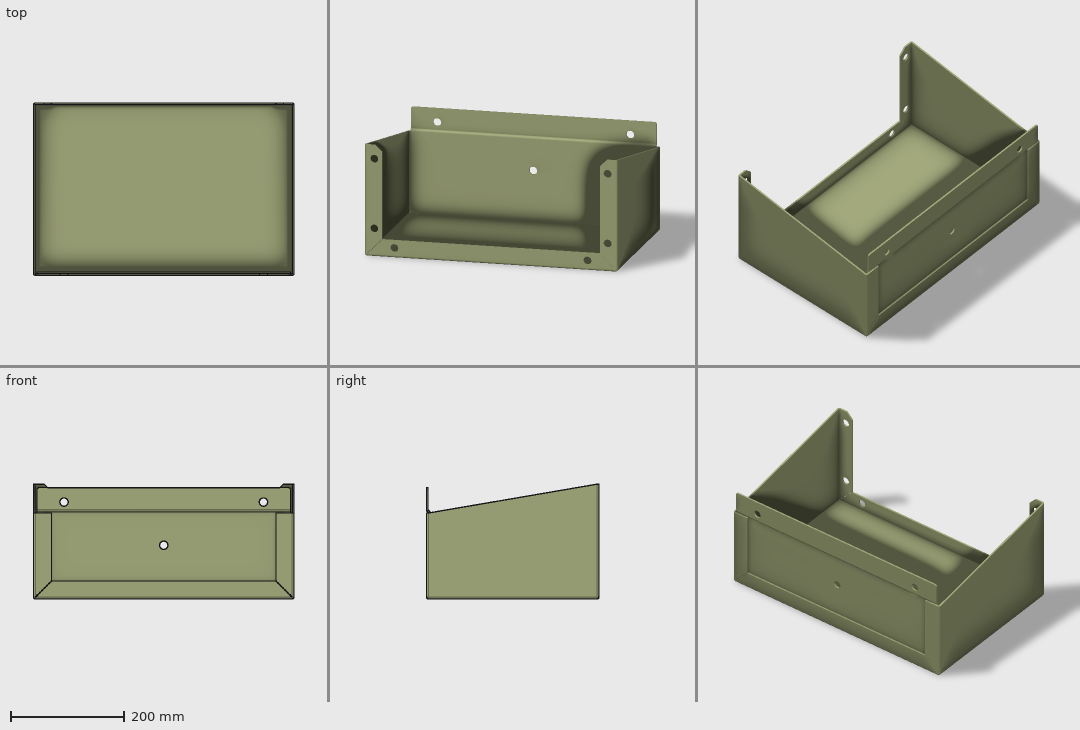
import cadquery as cq
import math

WIDTH = 460.38
DEPTH = 304.8
BACK_HEIGHT = 203.2
FRONT_HEIGHT = 152.4

SHEET = 3.175
BEND_INNER_RADIUS = 0.79375
BEND_RADIUS = BEND_INNER_RADIUS + SHEET
FLANGE = 31.75
BACK_FLANGE_CHAMFER = 12.7
MITER_ANGLE = 45
MITER_GAP = 0.6

HOLE_DIAMETER = 14.29
MOUNT_HOLE_SPACING = 352
MOUNT_HOLE_X = MOUNT_HOLE_SPACING / 2
FLANGE_HOLE_INSET = 17.4625
SIDE_FLANGE_HOLE_HEIGHTS = (50.8, 177.8)

PANEL_SIDE_CLEARANCE = 3.175
PANEL_WIDTH = WIDTH - 2 * (SHEET + PANEL_SIDE_CLEARANCE)
PANEL_TOP = 196.85
PANEL_BOTTOM = BEND_RADIUS
PANEL_CORNER_RADIUS = 3.96875
JOGGLE_ANGLE = 45
JOGGLE_CLEARANCE = 0.79375
CENTRE_HOLE_HEIGHT = 95.25
UPPER_HOLE_DROP = 25.4
UPPER_HOLE_HEIGHT = PANEL_TOP - UPPER_HOLE_DROP

FRONT_Y = -DEPTH / 2
BACK_Y = DEPTH / 2


def block(width, depth, bottom, top, edge_radius):
    """Box with its upright and lower edges rounded."""
    box = cq.Workplane("XY").box(width, depth, top - bottom, centered=(True, True, False))
    box = box.translate((0, 0, bottom))
    return box.edges("|Z or <Z").fillet(edge_radius)


def holes_along_y(points, y_start, y_end):
    """Round cutters along Y at the given (x, z) points."""
    cutters = cq.Workplane("XZ", origin=(0, y_start, 0)).pushPoints(points)
    return cutters.circle(HOLE_DIAMETER / 2).extrude(y_start - y_end)


def side_slope_cutter():
    """Everything above the sloping top edge of the two sides."""
    above = BACK_HEIGHT + SHEET
    return (
        cq.Workplane("YZ")
        .polyline([
            (FRONT_Y - SHEET, above),
            (FRONT_Y - SHEET, FRONT_HEIGHT),
            (FRONT_Y + BEND_RADIUS, FRONT_HEIGHT),
            (BACK_Y - BEND_RADIUS, BACK_HEIGHT),
            (BACK_Y - BEND_RADIUS, above),
        ])
        .close()
        .extrude(WIDTH, both=True)
    )


def front_opening():
    """Space between the front flanges."""
    width = WIDTH - 2 * FLANGE
    opening = cq.Workplane("XY").box(width, DEPTH / 2, BACK_HEIGHT, centered=(True, True, False))
    return opening.translate((0, FRONT_Y, FLANGE))


def back_opening():
    """Space between the back flanges, widened at the top by the corner chamfers."""
    half_width = WIDTH / 2 - FLANGE
    top_half_width = half_width + BACK_FLANGE_CHAMFER
    return (
        cq.Workplane("XZ", origin=(0, BACK_Y + SHEET, 0))
        .polyline([
            (-half_width, FLANGE),
            (half_width, FLANGE),
            (half_width, BACK_HEIGHT - BACK_FLANGE_CHAMFER),
            (top_half_width, BACK_HEIGHT),
            (-top_half_width, BACK_HEIGHT),
            (-half_width, BACK_HEIGHT - BACK_FLANGE_CHAMFER),
        ])
        .close()
        .extrude(DEPTH / 4)
    )


def miter_slits():
    """Thin 45 degree gaps where the lower flanges meet the side flanges, front and back."""
    middle_offset = (FLANGE + BEND_RADIUS) / 2
    length = (FLANGE - BEND_RADIUS) / math.cos(math.radians(MITER_ANGLE))
    slits = cq.Workplane("XY")
    for side in (-1, 1):
        slit = cq.Workplane("XY").box(length, 2 * DEPTH, MITER_GAP)
        slit = slit.rotate((0, 0, 0), (0, 1, 0), side * MITER_ANGLE)
        slits = slits.add(slit.translate((side * (WIDTH / 2 - middle_offset), 0, middle_offset)))
    return slits.combine()


def build_tray():
    """Open tray: floor, two sloping sides, and flanges turned in at front and back."""
    outside = block(WIDTH, DEPTH, 0, BACK_HEIGHT, BEND_RADIUS)
    inside = block(
        WIDTH - 2 * SHEET, DEPTH - 2 * SHEET, SHEET, BACK_HEIGHT + SHEET, BEND_INNER_RADIUS
    )
    tray = outside.cut(inside).cut(side_slope_cutter()).cut(front_opening()).cut(back_opening())
    tray = tray.cut(miter_slits())

    side_x = WIDTH / 2 - FLANGE_HOLE_INSET
    back_points = [(side * MOUNT_HOLE_X, FLANGE_HOLE_INSET) for side in (-1, 1)]
    for height in SIDE_FLANGE_HOLE_HEIGHTS:
        back_points += [(-side_x, height), (side_x, height)]
    return tray.cut(holes_along_y(back_points, BACK_Y - DEPTH / 4, BACK_Y + SHEET))


def build_front_panel():
    """Flat panel behind the front flanges, with its upper strip joggled flush with them."""
    front = FRONT_Y
    middle = front + SHEET
    back = middle + SHEET
    joggle_rise = SHEET / math.tan(math.radians(JOGGLE_ANGLE))
    joggle_start = FRONT_HEIGHT + JOGGLE_CLEARANCE
    joggle_end = joggle_start + joggle_rise
    miter = SHEET * math.tan(math.radians(JOGGLE_ANGLE / 2))
    panel = (
        cq.Workplane("YZ")
        .polyline([
            (middle, PANEL_BOTTOM),
            (middle, joggle_start),
            (front, joggle_end),
            (front, PANEL_TOP),
            (middle, PANEL_TOP),
            (middle, joggle_end + miter),
            (back, joggle_start + miter),
            (back, PANEL_BOTTOM),
        ])
        .close()
        .extrude(PANEL_WIDTH / 2, both=True)
    )
    joggle_bends = [
        (middle, joggle_start, BEND_INNER_RADIUS),
        (front, joggle_end, BEND_RADIUS),
        (middle, joggle_end + miter, BEND_INNER_RADIUS),
        (back, joggle_start + miter, BEND_RADIUS),
    ]
    for y, z, radius in joggle_bends:
        panel = panel.edges(cq.NearestToPointSelector((0, y, z))).fillet(radius)
    panel = panel.edges("|Y and >Z").fillet(PANEL_CORNER_RADIUS)
    points = [(side * MOUNT_HOLE_X, UPPER_HOLE_HEIGHT) for side in (-1, 1)]
    points.append((0, CENTRE_HOLE_HEIGHT))
    return panel.cut(holes_along_y(points, front - SHEET, back + SHEET))


tray = build_tray()
front_panel = build_front_panel()

result = cq.Compound.makeCompound([tray.val(), front_panel.val()])